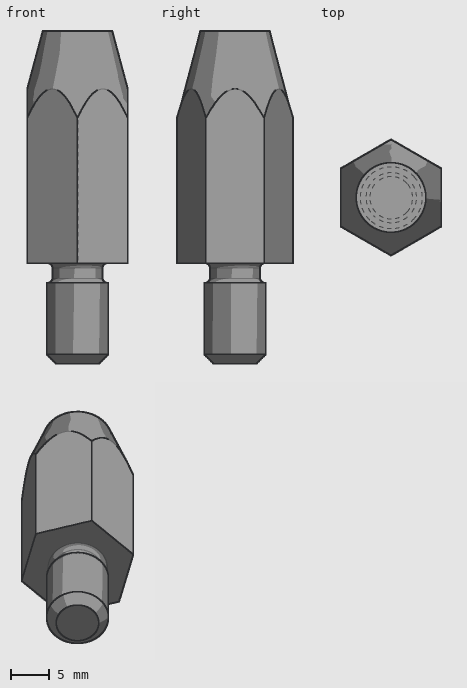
import cadquery as cq
import math

across_flats = 13.0
body_length = 30.0
tip_diameter = 9.0
taper_half_angle = 15.0

stud_diameter = 8.0
stud_length = 13.0
stud_chamfer = 1.25

undercut_diameter = 6.5
undercut_width = 2.5
undercut_fillet = 0.6

across_corners = across_flats / math.cos(math.pi / 6)
tip_radius = tip_diameter / 2
stud_radius = stud_diameter / 2
undercut_radius = undercut_diameter / 2


def hexagonal_body():
    """Hexagonal prism with two flats facing +X and -X."""
    prism = cq.Workplane("XY").polygon(6, across_corners).extrude(body_length)
    return prism.rotate((0, 0, 0), (0, 0, 1), 30)


def taper_envelope():
    """Cone around the whole body, narrowing to the tip diameter at the top."""
    base_radius = tip_radius + body_length * math.tan(math.radians(taper_half_angle))
    base = cq.Workplane("XY").circle(base_radius)
    return base.workplane(offset=body_length).circle(tip_radius).loft()


def stud():
    """Revolved stud with an end chamfer and a round-cornered undercut below the body."""
    fillet_outer_radius = undercut_radius + undercut_fillet
    arc_inset = undercut_fillet * (1 - math.cos(math.pi / 4))
    arc_middle_radius = undercut_radius + arc_inset
    profile = (
        cq.Workplane("XZ")
        .lineTo(fillet_outer_radius, 0)
        .threePointArc((arc_middle_radius, -arc_inset), (undercut_radius, -undercut_fillet))
        .lineTo(undercut_radius, undercut_fillet - undercut_width)
        .threePointArc(
            (arc_middle_radius, arc_inset - undercut_width),
            (fillet_outer_radius, -undercut_width),
        )
        .lineTo(stud_radius, -undercut_width)
        .lineTo(stud_radius, stud_chamfer - stud_length)
        .lineTo(stud_radius - stud_chamfer, -stud_length)
        .lineTo(0, -stud_length)
        .close()
    )
    return profile.revolve(360, (0, 0, 0), (0, 1, 0))


tapered_body = hexagonal_body().intersect(taper_envelope())
result = tapered_body.union(stud())